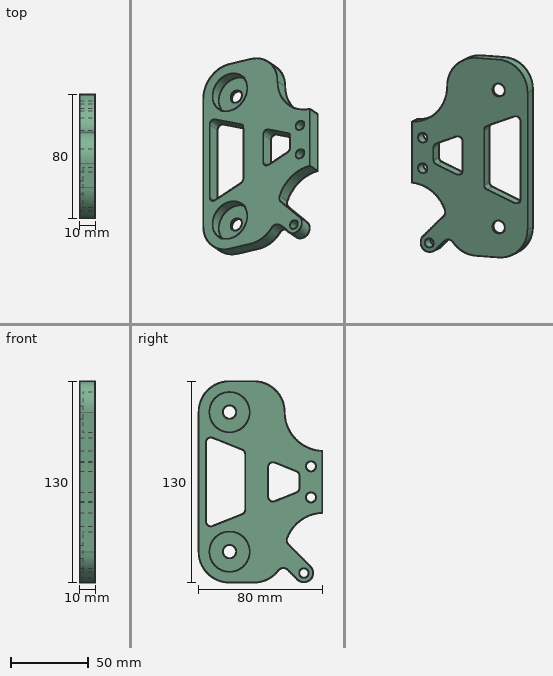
import cadquery as cq
import math

thickness = 10.0
width = 80.0
height = 130.0
corner_radius = 20.0
body_width = 55.6
neck_height = 40.0
scoop_radius = 25.0

bearing_y = corner_radius
bearing_z = height / 2 - corner_radius
shaft_diameter = 8.5
bearing_diameter = 26.0
seat_floor = 2.1

mount_diameter = 6.4
mount_y = 72.5
mount_z = 10.0

arm_y = 68.0
arm_z = -58.8
arm_radius = 6.0
arm_hole_diameter = 6.0
arm_length = 39.0
arm_angle = 135.0
arm_fillet = 4.0

window_slope = 0.4
window_fillet = 3.0
large_window = {"y_near": 5.0, "y_far": 30.0, "near_height": 60.0}
small_window = {"y_near": 45.0, "y_far": 65.0, "near_height": 28.1}


def sketch_plane():
    """Y-Z plane on the flat face at X = 0; extrusions go toward +X."""
    return cq.Workplane("YZ")


def cylinder(y, z, diameter, length=thickness):
    return sketch_plane().center(y, z).circle(diameter / 2).extrude(length)


def make_body():
    body = (
        sketch_plane()
        .center(body_width / 2, 0)
        .rect(body_width, height)
        .extrude(thickness)
        .edges("|X")
        .fillet(corner_radius)
    )
    neck_start = body_width - corner_radius
    neck = (
        sketch_plane()
        .center((neck_start + width) / 2, 0)
        .rect(width - neck_start, 2 * bearing_z)
        .extrude(thickness)
    )
    body = body.union(neck)
    scoop_y = body_width + scoop_radius
    scoop_z = neck_height / 2 + scoop_radius
    for side in (1, -1):
        body = body.cut(cylinder(scoop_y, side * scoop_z, 2 * scoop_radius))
    return body


def make_arm():
    bar = (
        sketch_plane()
        .center(arm_y, arm_z)
        .transformed(rotate=(0, 0, arm_angle))
        .center(arm_length / 2, 0)
        .rect(arm_length, 2 * arm_radius)
        .extrude(thickness)
    )
    return bar.union(cylinder(arm_y, arm_z, 2 * arm_radius))


def arm_edge_crossing(side, circle_y, circle_z, radius):
    """Point where an arm side line (1 upper, -1 lower) meets a circle of the body outline."""
    angle = math.radians(arm_angle)
    along_y, along_z = math.cos(angle), math.sin(angle)
    start_y = arm_y + side * arm_radius * along_z
    start_z = arm_z - side * arm_radius * along_y
    to_y, to_z = circle_y - start_y, circle_z - start_z
    middle = to_y * along_y + to_z * along_z
    half_chord = math.sqrt(radius**2 - (to_y**2 + to_z**2 - middle**2))
    distance = middle + side * half_chord
    return start_y + distance * along_y, start_z + distance * along_z


def fillet_at(solid, point, radius):
    edge = cq.selectors.NearestToPointSelector((thickness / 2, *point))
    return solid.edges("|X").edges(edge).fillet(radius)


def make_window(y_near, y_far, near_height):
    near_half = near_height / 2
    far_half = near_half - window_slope * (y_far - y_near)
    return (
        sketch_plane()
        .polyline([(y_near, -near_half), (y_far, -far_half), (y_far, far_half), (y_near, near_half)])
        .close()
        .extrude(thickness)
        .edges("|X")
        .fillet(window_fillet)
    )


plate = make_body().union(make_arm())

upper_crossing = arm_edge_crossing(
    1, body_width + scoop_radius, -neck_height / 2 - scoop_radius, scoop_radius
)
lower_crossing = arm_edge_crossing(-1, body_width - corner_radius, -bearing_z, corner_radius)
plate = fillet_at(plate, upper_crossing, arm_fillet)
plate = fillet_at(plate, lower_crossing, arm_fillet)

for window in (large_window, small_window):
    plate = plate.cut(make_window(**window))

plate = plate.cut(cylinder(arm_y, arm_z, arm_hole_diameter))
for side in (1, -1):
    plate = plate.cut(cylinder(mount_y, side * mount_z, mount_diameter))
    plate = plate.cut(cylinder(bearing_y, side * bearing_z, shaft_diameter))
    pocket = cylinder(bearing_y, side * bearing_z, bearing_diameter, thickness - seat_floor)
    plate = plate.cut(pocket.translate((seat_floor, 0, 0)))

result = plate